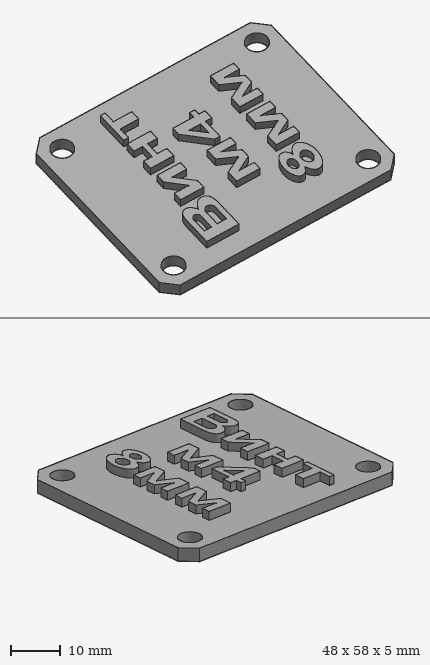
import cadquery as cq

WIDTH = 48.0
LENGTH = 58.0
PLATE_THICKNESS = 3.0
CORNER_CHAMFER = 3.0
HOLE_DIAMETER = 5.0
HOLE_INSET = 5.0

TOTAL_HEIGHT = 5.0
RAISE = TOTAL_HEIGHT - PLATE_THICKNESS
CAP_HEIGHT = 7.95
SMALL_HEIGHT = 5.75
SMALL_WIDTH = 8.0
STEM = 2.4
FIRST_BASELINE = 8.0
LINE_PITCH = 12.0
HALF_TURN = 180


def raised_sketch():
    return cq.Workplane("XY").workplane(offset=PLATE_THICKNESS)


def raised_outline(points):
    return raised_sketch().polyline(points).close().extrude(RAISE)


def mirrored_points(left_half, width):
    """Right half of a symmetric character, in reverse order to continue the outline."""
    return [(width - x, y) for x, y in reversed(left_half)]


def letter_ve():
    stem = 2.6
    lobe_start = 6.85
    upper_tip = (9.5, 6.15)
    notch = (7.95, 4.3)
    lower_tip = (10.15, 2.25)
    body = (
        raised_sketch()
        .lineTo(0, CAP_HEIGHT)
        .lineTo(lobe_start, CAP_HEIGHT)
        .spline([upper_tip, notch], tangents=[(1, 0), (-1, -0.6)], includeCurrent=True)
        .spline([lower_tip, (lobe_start, 0)], tangents=[(1, -0.4), (-1, 0)], includeCurrent=True)
        .close()
        .extrude(RAISE)
    )
    for bottom, top, arc_start, tip in ((1.2, 3.5, 6.45, 7.6), (4.95, 6.65, 6.45, 7.15)):
        opening = (
            raised_sketch()
            .moveTo(stem, bottom)
            .lineTo(arc_start, bottom)
            .threePointArc((tip, (bottom + top) / 2), (arc_start, top))
            .lineTo(stem, top)
            .close()
            .extrude(RAISE)
        )
        body = body.cut(opening)
    return body


def letter_i():
    stem = 2.15
    diagonal_end = 2.15
    upper_left = [
        (0, 0),
        (0, SMALL_HEIGHT),
        (stem, SMALL_HEIGHT),
        (stem, diagonal_end),
        (SMALL_WIDTH - stem, SMALL_HEIGHT),
    ]
    lower_right = [(SMALL_WIDTH - x, SMALL_HEIGHT - y) for x, y in upper_left]
    return raised_outline(upper_left + lower_right)


def letter_en():
    bar_bottom = 2.4
    bar_top = 3.65
    body = raised_sketch().rect(SMALL_WIDTH, SMALL_HEIGHT, centered=False).extrude(RAISE)
    gap = SMALL_WIDTH - 2 * STEM
    for bottom, top in ((0, bar_bottom), (bar_top, SMALL_HEIGHT)):
        opening = raised_sketch().moveTo(STEM, bottom).rect(gap, top - bottom, centered=False)
        body = body.cut(opening.extrude(RAISE))
    return body


def letter_te():
    bar_bottom = 4.5
    stem_left = (SMALL_WIDTH - STEM) / 2
    left_half = [
        (stem_left, 0),
        (stem_left, bar_bottom),
        (0, bar_bottom),
        (0, SMALL_HEIGHT),
    ]
    return raised_outline(left_half + mirrored_points(left_half, SMALL_WIDTH))


def letter_em():
    width = 10.1
    stem = 2.0
    shoulder = 2.9
    valley_height = 1.6
    foot_left = 3.95
    crotch_height = 3.7
    left_half = [
        (foot_left, 0),
        (stem, crotch_height),
        (stem, 0),
        (0, 0),
        (0, SMALL_HEIGHT),
        (shoulder, SMALL_HEIGHT),
    ]
    valley = [(width / 2, valley_height)]
    return raised_outline(left_half + valley + mirrored_points(left_half, width))


def digit_four():
    width = 8.65
    bar_bottom = 1.5
    bar_top = 2.8
    stem_left = 4.95
    stem_right = 7.25
    top_left = 5.35
    opening_tip = 2.1
    opening_top = 5.6
    body = raised_outline([
        (stem_left, 0),
        (stem_left, bar_bottom),
        (0, bar_bottom),
        (0, bar_top),
        (top_left, CAP_HEIGHT),
        (stem_right, CAP_HEIGHT),
        (stem_right, bar_top),
        (width, bar_top),
        (width, bar_bottom),
        (stem_right, bar_bottom),
        (stem_right, 0),
    ])
    opening = raised_outline([(opening_tip, bar_top), (stem_left, bar_top), (stem_left, opening_top)])
    return body.cut(opening)


def digit_eight():
    half_width = 4.05

    def oval(centre_height, radius_x, radius_y):
        sketch = raised_sketch().center(half_width, centre_height)
        return sketch.ellipse(radius_x, radius_y).extrude(RAISE)

    lower_radius_y = 2.4
    lower_loop = oval(lower_radius_y, half_width, lower_radius_y)
    upper_loop = oval(centre_height=6.1, radius_x=3.6, radius_y=2.05)
    lower_opening = oval(centre_height=2.45, radius_x=1.7, radius_y=1.3)
    upper_opening = oval(centre_height=5.9, radius_x=1.45, radius_y=1.0)
    return lower_loop.union(upper_loop).cut(lower_opening).cut(upper_opening)


TEXT_LINES = (
    ((letter_ve, -19.2), (letter_i, -7.2), (letter_en, 3.1), (letter_te, 12.25)),
    ((letter_em, -9.75), (digit_four, 1.8)),
    ((digit_eight, -16.65), (letter_em, -6.6), (letter_em, 5.8)),
)


def plate():
    blank = (
        cq.Workplane("XY")
        .rect(WIDTH, LENGTH)
        .extrude(PLATE_THICKNESS)
        .edges("|Z")
        .chamfer(CORNER_CHAMFER)
    )
    return (
        blank.faces(">Z")
        .workplane()
        .rect(WIDTH - 2 * HOLE_INSET, LENGTH - 2 * HOLE_INSET, forConstruction=True)
        .vertices()
        .hole(HOLE_DIAMETER)
    )


result = plate()
for line_index, line in enumerate(TEXT_LINES):
    baseline = FIRST_BASELINE - line_index * LINE_PITCH
    for character, left_edge in line:
        result = result.union(character().translate((left_edge, baseline, 0)))

result = result.rotate((0, 0, 0), (0, 0, 1), HALF_TURN)